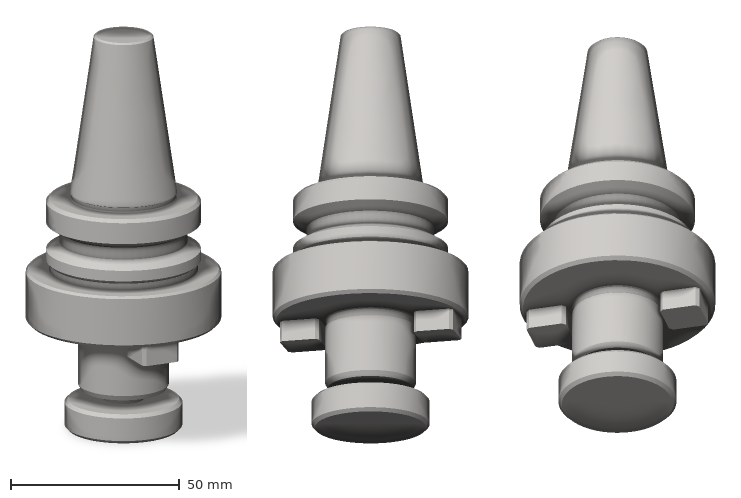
import cadquery as cq
import math


gauge_diameter = 31.75
taper_length = 48.4
taper_ratio = 7 / 24
taper_tip_chamfer = 0.5
taper_land_height = 0.3
relief_diameter = 31.0
relief_run_out = 0.35
relief_step_z = -0.5
flange_top_z = -2.0

flange_diameter = 46.0
flange_bottom_z = -22.0
flange_chamfer = 1.0
groove_diameter = 38.0
groove_center_z = -13.6
groove_mouth_width = 8.3
groove_flank_angle = 30.0
flange_neck_diameter = 44.3

collar_diameter = 58.0
collar_top_z = -24.0
collar_bottom_z = -40.0
collar_top_chamfer = 0.7
collar_bottom_chamfer = 1.0

pilot_diameter = 27.0
pilot_length = 21.0
pilot_chamfer_width = 0.9
pilot_chamfer_height = 1.6
pilot_relief_diameter = 26.3
pilot_relief_length = 2.5
pilot_relief_run_out = 0.3

screw_shank_diameter = 12.0
screw_head_diameter = 35.0
screw_head_height = 9.0
screw_head_chamfer = 1.0
total_length = 121.53

key_width = 12.0
key_height = 6.3
key_corner_chamfer = 1.0
key_center_radius = 20.5

taper_tip_radius = (gauge_diameter - taper_length * taper_ratio) / 2
pilot_bottom_z = collar_bottom_z - pilot_length
screw_bottom_z = taper_length - total_length
screw_head_top_z = screw_bottom_z + screw_head_height


def revolve_profile(points):
    """Revolve (radius, z) points, closed along the axis, about Z."""
    first_z = points[0][1]
    last_z = points[-1][1]
    outline = [(0, first_z)] + points + [(0, last_z)]
    return cq.Workplane("XZ").polyline(outline).close().revolve(360, (0, 0), (0, 1))


def chamfered_disc(diameter, top_z, bottom_z, top_chamfer, bottom_chamfer):
    radius = diameter / 2
    return revolve_profile([
        (radius - top_chamfer, top_z),
        (radius, top_z - top_chamfer),
        (radius, bottom_z + bottom_chamfer),
        (radius - bottom_chamfer, bottom_z),
    ])


def cylinder(diameter, top_z, bottom_z):
    return revolve_profile([(diameter / 2, top_z), (diameter / 2, bottom_z)])


def make_taper_shank():
    gauge_radius = gauge_diameter / 2
    relief_radius = relief_diameter / 2
    chamfer_start_radius = taper_tip_radius + taper_tip_chamfer * taper_ratio / 2
    return revolve_profile([
        (taper_tip_radius - taper_tip_chamfer, taper_length),
        (chamfer_start_radius, taper_length - taper_tip_chamfer),
        (gauge_radius, 0),
        (gauge_radius, -taper_land_height),
        (relief_radius, relief_step_z),
        (relief_radius, flange_top_z + relief_run_out),
        (gauge_radius, flange_top_z),
    ])


def make_flange():
    flange = chamfered_disc(flange_diameter, flange_top_z, flange_bottom_z, flange_chamfer, flange_chamfer)
    flange_radius = flange_diameter / 2
    groove_radius = groove_diameter / 2
    half_mouth = groove_mouth_width / 2
    flank_height = (flange_radius - groove_radius) * math.tan(math.radians(groove_flank_angle))
    half_floor = half_mouth - flank_height
    groove = (
        cq.Workplane("XZ")
        .polyline([
            (flange_radius, groove_center_z + half_mouth),
            (groove_radius, groove_center_z + half_floor),
            (groove_radius, groove_center_z - half_floor),
            (flange_radius, groove_center_z - half_mouth),
        ])
        .close()
        .revolve(360, (0, 0), (0, 1))
    )
    neck = cylinder(flange_neck_diameter, flange_bottom_z, collar_top_z)
    return flange.cut(groove).union(neck)


def make_collar():
    return chamfered_disc(
        collar_diameter, collar_top_z, collar_bottom_z, collar_top_chamfer, collar_bottom_chamfer
    )


def make_pilot():
    pilot_radius = pilot_diameter / 2
    relief_radius = pilot_relief_diameter / 2
    relief_end_z = collar_bottom_z - pilot_relief_length
    return revolve_profile([
        (pilot_radius, collar_bottom_z),
        (relief_radius, collar_bottom_z - pilot_relief_run_out),
        (relief_radius, relief_end_z + pilot_relief_run_out),
        (pilot_radius, relief_end_z),
        (pilot_radius, pilot_bottom_z + pilot_chamfer_height),
        (pilot_radius - pilot_chamfer_width, pilot_bottom_z),
    ])


def make_screw():
    shank = cylinder(screw_shank_diameter, pilot_bottom_z, screw_head_top_z)
    head = chamfered_disc(
        screw_head_diameter, screw_head_top_z, screw_bottom_z, screw_head_chamfer, screw_head_chamfer
    )
    return shank.union(head)


def make_drive_keys():
    return (
        cq.Workplane("XY", origin=(0, 0, collar_bottom_z))
        .pushPoints([(-key_center_radius, 0), (key_center_radius, 0)])
        .rect(key_width, key_width)
        .extrude(-key_height)
        .edges("|Z")
        .chamfer(key_corner_chamfer)
    )


result = (
    make_taper_shank()
    .union(make_flange())
    .union(make_collar())
    .union(make_pilot())
    .union(make_screw())
    .union(make_drive_keys())
)